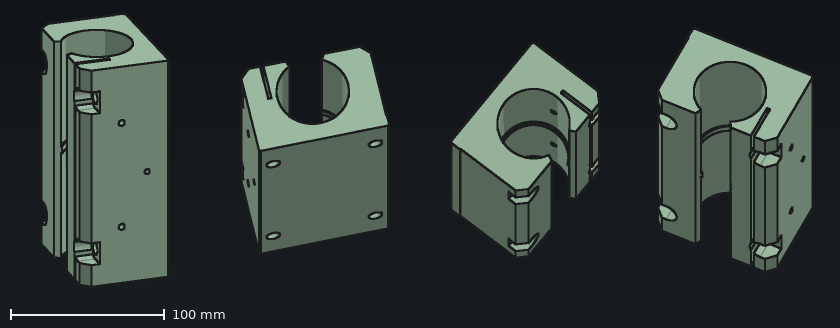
import cadquery as cq
import math

length = 152.0
width = 87.0
depth = 60.0
front_y = -depth / 2
back_y = depth / 2
side_x = width / 2
cut_margin = 1.5

front_chamfer = 6.1
back_chamfer = 1.0
strip_height = 0.5
strip_width = 8.2

bore_height = 25.1
bore_y = front_y + bore_height
bore_radius = 23.5
rib_radius = 22.6
rib_thickness = 5.0
opening_half_angle = math.radians(26.8)

slit_x = 28.5
slit_width = 2.1
slit_depth = 24.0

mount_spacing_x = 68.1
mount_spacing_z = 106.0
mount_diameter = 8.8
pocket_width = 15.2
pocket_depth = 12.0

screw_diameter = 4.1
screw_spacing_z = 73.0
screw_offset = 2.0
screw_y = bore_y + screw_offset
lube_diameter = 3.3
lube_offset = 19.6
lube_y = bore_y + lube_offset


def make_block():
    recessed_x = strip_height - side_x
    outline = [
        (recessed_x + front_chamfer, front_y),
        (side_x - front_chamfer, front_y),
        (side_x, front_y + front_chamfer),
        (side_x, back_y - back_chamfer),
        (side_x - back_chamfer, back_y),
        (-side_x + back_chamfer, back_y),
        (-side_x, back_y - back_chamfer),
        (-side_x, back_y - strip_width),
        (recessed_x, back_y - strip_width),
        (recessed_x, front_y + front_chamfer),
    ]
    return cq.Workplane("XY").polyline(outline).close().extrude(length / 2, both=True)


def make_bore():
    bore = cq.Workplane("XY").center(0, bore_y).circle(bore_radius).extrude(length / 2, both=True)
    rib = (
        cq.Workplane("XY")
        .center(0, bore_y)
        .circle(bore_radius)
        .circle(rib_radius)
        .extrude(rib_thickness / 2, both=True)
    )
    return bore.cut(rib)


def make_opening():
    mouth_y = front_y - cut_margin
    mouth_half_width = (bore_y - mouth_y) * math.tan(opening_half_angle)
    wedge = [(0, bore_y), (-mouth_half_width, mouth_y), (mouth_half_width, mouth_y)]
    return cq.Workplane("XY").polyline(wedge).close().extrude(length / 2, both=True)


def make_slit():
    return cq.Workplane("XY").box(slit_width, slit_depth, length).translate(
        (slit_x, front_y + slit_depth / 2, 0)
    )


def make_mounting_cut(side, z):
    """Through hole along Y with a round-ended pocket open to the given side."""
    hole_x = side * mount_spacing_x / 2
    run_out = side_x + cut_margin - mount_spacing_x / 2
    plane = cq.Workplane("XZ", origin=(hole_x, front_y, z))
    hole = plane.circle(mount_diameter / 2).extrude(-depth)
    round_end = plane.circle(pocket_width / 2).extrude(-pocket_depth)
    channel = plane.center(side * run_out / 2, 0).rect(run_out, pocket_width).extrude(-pocket_depth)
    return hole.union(round_end).union(channel)


def make_cross_hole(diameter, y, z):
    return cq.Workplane("YZ", origin=(0, y, z)).circle(diameter / 2).extrude(side_x)


result = make_block().cut(make_bore()).cut(make_opening()).cut(make_slit())

for side in (-1, 1):
    for end in (-1, 1):
        result = result.cut(make_mounting_cut(side, end * mount_spacing_z / 2))

for end in (-1, 1):
    result = result.cut(make_cross_hole(screw_diameter, screw_y, end * screw_spacing_z / 2))
result = result.cut(make_cross_hole(lube_diameter, lube_y, 0))